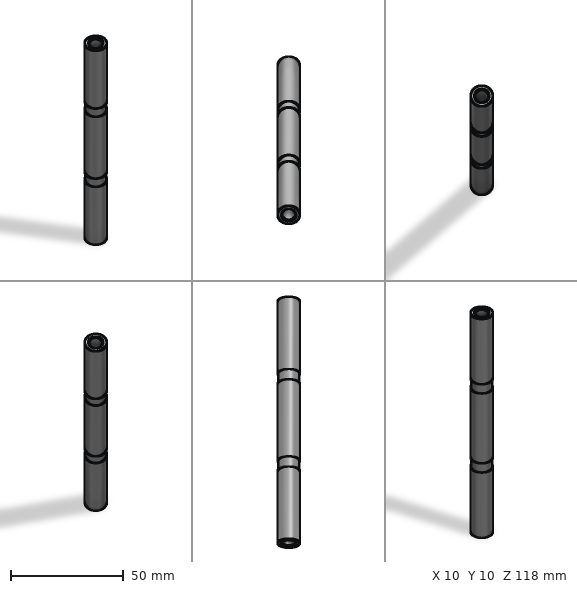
import cadquery as cq

length = 118.0
outer_diameter = 10.0
bore_diameter = 5.7
edge_chamfer = 0.2

mouth_diameter = 6.7
mouth_chamfer = (mouth_diameter - bore_diameter) / 2

groove_diameter = 9.3
groove_width = 5.0
end_land_length = 35.3


def make_tube():
    """Hollow cylinder with bevelled outer rims and countersunk bore mouths."""
    body = cq.Workplane("XY").circle(outer_diameter / 2).extrude(length)
    body = body.faces("<Z or >Z").edges().chamfer(edge_chamfer)
    body = body.cut(cq.Workplane("XY").circle(bore_diameter / 2).extrude(length))
    return body.faces("<Z or >Z").edges("%CIRCLE").edges(
        cq.selectors.RadiusNthSelector(0)
    ).chamfer(mouth_chamfer)


def make_groove(bottom):
    """Ring of material removed by a groove whose lower wall is at the given height."""
    return (
        cq.Workplane("XY")
        .workplane(offset=bottom)
        .circle(outer_diameter / 2)
        .circle(groove_diameter / 2)
        .extrude(groove_width)
    )


result = make_tube()
for groove_bottom in (end_land_length, length - end_land_length - groove_width):
    result = result.cut(make_groove(groove_bottom))